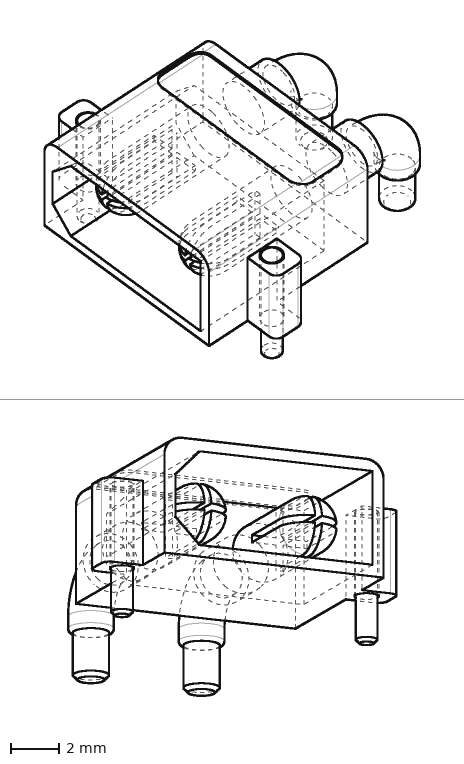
import cadquery as cq

HOUSING_WIDTH = 9.9
HOUSING_LENGTH = 9.0
HOUSING_HEIGHT = 5.0
TOP_EDGE_RADIUS = 0.8

CAVITY_WIDTH = 8.9
CAVITY_HEIGHT = 4.0
CAVITY_DEPTH = 7.0
CAVITY_CORNER_CUT = 1.09

LABEL_WIDTH = 8.98
LABEL_LENGTH = 2.79
LABEL_DEPTH = 0.1
LABEL_RADIUS = 0.7
LABEL_REAR_MARGIN = 0.6

EAR_SPAN = 13.3
EAR_LENGTH = 1.66
EAR_HEIGHT = 3.6
EAR_RADIUS = 0.4
EAR_Y = 3.03
POST_HOLE_DIAMETER = 1.0

POST_DIAMETER = 0.9
POST_X = 5.52
POST_CHAMFER = 0.15

LEG_DEPTH = 2.01
CONTACT_SPACING = 5.0
CONTACT_Z = HOUSING_HEIGHT / 2
CONTACT_DIAMETER = 2.5
CONTACT_TIP_Y = 1.07
CONTACT_REAR_LENGTH = 2.0
SLOT_WIDTH = 0.3
SLOT_DEPTH = 4.0

TOTAL_LENGTH = 13.95
TAIL_DIAMETER = 1.9
BEND_RADIUS = 1.8
TAIL_END_RADIUS = 0.18
LEG_DIAMETER = 1.5
LEG_CHAMFER = 0.2

CONTACT_REAR_Y = HOUSING_LENGTH + CONTACT_REAR_LENGTH
LEG_Y = TOTAL_LENGTH - TAIL_DIAMETER / 2
BEND_START_Y = LEG_Y - BEND_RADIUS
BEND_END_Z = CONTACT_Z - BEND_RADIUS


def box(x_min, x_max, y_min, y_max, z_min, z_max):
    """Box between opposite corners."""
    size = (x_max - x_min, y_max - y_min, z_max - z_min)
    return cq.Workplane("XY").box(*size, centered=False).translate((x_min, y_min, z_min))


def rounded_block(inset=0):
    """Housing block with rounded upper long edges, drawn in from its sides and top by the inset."""
    half_width = HOUSING_WIDTH / 2 - inset
    block = box(-half_width, half_width, 0, HOUSING_LENGTH, 0, HOUSING_HEIGHT - inset)
    return block.edges("|Y and >Z").fillet(TOP_EDGE_RADIUS - inset)


def ears():
    """One bar across the housing whose two ends form the ears."""
    return (
        cq.Workplane("XY")
        .center(0, EAR_Y)
        .rect(EAR_SPAN, EAR_LENGTH)
        .extrude(EAR_HEIGHT)
        .edges("|Z")
        .fillet(EAR_RADIUS)
    )


def post_holes():
    """Bores through the two ears."""
    return (
        cq.Workplane("XY")
        .pushPoints([(-POST_X, EAR_Y), (POST_X, EAR_Y)])
        .circle(POST_HOLE_DIAMETER / 2)
        .extrude(EAR_HEIGHT)
    )


def cavity():
    """Keyed socket opening, running back from the front face."""
    middle_z = HOUSING_HEIGHT / 2
    return (
        box(
            -CAVITY_WIDTH / 2, CAVITY_WIDTH / 2,
            0, CAVITY_DEPTH,
            middle_z - CAVITY_HEIGHT / 2, middle_z + CAVITY_HEIGHT / 2,
        )
        .edges("|Y and <X")
        .chamfer(CAVITY_CORNER_CUT)
    )


def label_recess():
    """Rounded pocket of even depth near the rear of the top face."""
    middle_y = HOUSING_LENGTH - LABEL_REAR_MARGIN - LABEL_LENGTH / 2
    patch = (
        cq.Workplane("XY", origin=(0, middle_y, HOUSING_HEIGHT - TOP_EDGE_RADIUS))
        .rect(LABEL_WIDTH, LABEL_LENGTH)
        .extrude(TOP_EDGE_RADIUS)
        .edges("|Z")
        .fillet(LABEL_RADIUS)
    )
    return patch.cut(rounded_block(inset=LABEL_DEPTH))


def rod_along_y(diameter, y_min, y_max):
    """Cylinder on the contact axis."""
    return (
        cq.Workplane("XZ", origin=(0, y_min, CONTACT_Z))
        .circle(diameter / 2)
        .extrude(y_min - y_max)
    )


def contact_pin():
    """Round-nosed pin, split crosswise at its nose, running out of the rear wall."""
    half_slot = SLOT_WIDTH / 2
    half_pin = CONTACT_DIAMETER / 2
    nose_y = CONTACT_TIP_Y + half_pin
    slot_end_y = CONTACT_TIP_Y + SLOT_DEPTH
    nose = cq.Workplane("XY").sphere(half_pin).translate((0, nose_y, CONTACT_Z))
    pin = rod_along_y(CONTACT_DIAMETER, nose_y, CONTACT_REAR_Y).union(nose)
    upright_slot = box(
        -half_slot, half_slot, CONTACT_TIP_Y, slot_end_y, CONTACT_Z - half_pin, CONTACT_Z + half_pin
    )
    level_slot = box(
        -half_pin, half_pin, CONTACT_TIP_Y, slot_end_y, CONTACT_Z - half_slot, CONTACT_Z + half_slot
    )
    return pin.cut(upright_slot).cut(level_slot)


def contact_tail():
    """Rod bent down through a right angle, ending in a thinner soldering leg."""
    straight = rod_along_y(TAIL_DIAMETER, CONTACT_REAR_Y, BEND_START_Y)
    bend = (
        cq.Workplane("XZ", origin=(0, BEND_START_Y, CONTACT_Z))
        .circle(TAIL_DIAMETER / 2)
        .revolve(90, (0.14, -BEND_RADIUS, 0), (-0.14, -BEND_RADIUS, 0))
    )
    drop = (
        cq.Workplane("XY", origin=(0, LEG_Y, 0))
        .circle(TAIL_DIAMETER / 2)
        .extrude(BEND_END_Z)
        .faces("<Z")
        .edges()
        .fillet(TAIL_END_RADIUS)
    )
    leg = (
        cq.Workplane("XY", origin=(0, LEG_Y, 0))
        .circle(LEG_DIAMETER / 2)
        .extrude(-LEG_DEPTH)
        .faces("<Z")
        .edges()
        .chamfer(LEG_CHAMFER)
    )
    return straight.union(bend).union(drop).union(leg)


def make_housing():
    """Hollow housing with its ears and the two contacts fixed in its rear wall."""
    body = rounded_block().union(ears()).cut(post_holes()).cut(cavity()).cut(label_recess())
    contact = contact_pin().union(contact_tail())
    for side in (-1, 1):
        body = body.union(contact.translate((side * CONTACT_SPACING / 2, 0, 0)))
    return body


def make_post(x):
    """Mounting post, level with the ear top and standing out below the housing."""
    return (
        cq.Workplane("XY", origin=(x, EAR_Y, -LEG_DEPTH))
        .circle(POST_DIAMETER / 2)
        .extrude(LEG_DEPTH + EAR_HEIGHT)
        .faces("<Z")
        .edges()
        .chamfer(POST_CHAMFER)
    )


housing = make_housing()
posts = [make_post(side * POST_X) for side in (-1, 1)]

result = cq.Compound.makeCompound([housing.val(), *[post.val() for post in posts]])